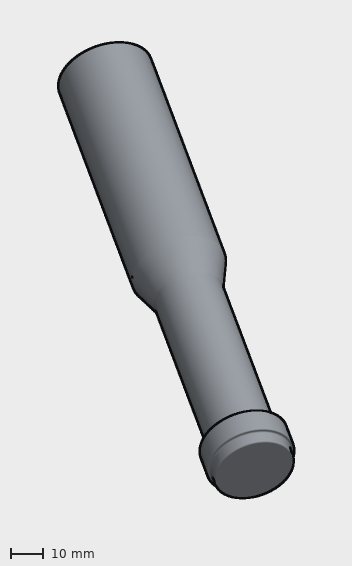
import cadquery as cq
import math

body_diameter = 30.0
neck_diameter = 22.0
collar_diameter = 28.0
spigot_diameter = 25.4

total_length = 166.1
spigot_length = 4.0
collar_length = 8.0
body_length = 82.1
taper_angle = 20.0

taper_blend_radius = 1.0
collar_edge_radius = 0.4
spigot_root_radius = 0.5
spigot_end_radius = 0.5

body_radius = body_diameter / 2
neck_radius = neck_diameter / 2
collar_radius = collar_diameter / 2
spigot_radius = spigot_diameter / 2
taper_length = (body_radius - neck_radius) / math.tan(math.radians(taper_angle))
taper_end = body_length + taper_length
collar_end = total_length - spigot_length
collar_start = collar_end - collar_length


def make_turned_blank():
    """Stepped bar with sharp edges, revolved about the X axis."""
    profile = (
        cq.Workplane("XZ")
        .moveTo(0, 0)
        .lineTo(0, body_radius)
        .lineTo(body_length, body_radius)
        .lineTo(taper_end, neck_radius)
        .lineTo(collar_start, neck_radius)
        .lineTo(collar_start, collar_radius)
        .lineTo(collar_end, collar_radius)
        .lineTo(collar_end, spigot_radius)
        .lineTo(total_length, spigot_radius)
        .lineTo(total_length, 0)
        .close()
    )
    return profile.revolve(360, (0, 0, 0), (1, 0, 0))


def ring_edge(solid, station, radius):
    """Circular edge of the given radius centred on the axis at an X station."""
    tolerance = 0.01

    def matches(edge):
        on_station = abs(edge.Center().x - station) < tolerance
        return edge.geomType() == "CIRCLE" and on_station and abs(edge.radius() - radius) < tolerance

    return solid.edges().filter(matches)


def blend_taper(solid):
    """Round both ends of the taper into the body and the neck."""
    solid = ring_edge(solid, body_length, body_radius).fillet(taper_blend_radius)
    return ring_edge(solid, taper_end, neck_radius).fillet(taper_blend_radius)


def finish_collar_and_spigot(solid):
    """Round the outer rims and the root between collar and spigot."""
    solid = ring_edge(solid, collar_end, collar_radius).fillet(collar_edge_radius)
    solid = ring_edge(solid, collar_end, spigot_radius).fillet(spigot_root_radius)
    return ring_edge(solid, total_length, spigot_radius).fillet(spigot_end_radius)


result = finish_collar_and_spigot(blend_taper(make_turned_blank()))